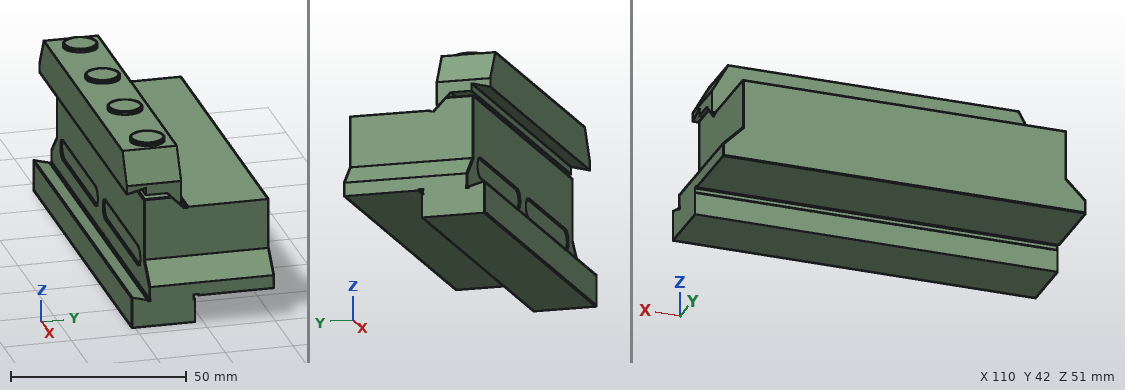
import cadquery as cq

LENGTH = 110.0
DEPTH = 42.0
SHOULDER_LENGTH = 97.9
END_SLOPE_LOW_Z = 12.0
END_SLOPE_RISE = (LENGTH - SHOULDER_LENGTH) / 2
SHELF_Z = 33.0
STEP_Z = 8.0
STEP_Y = 18.7
SEAT_Y = 5.3
RIDGE_TOP_Z = 36.5
RIDGE_BACK_Y = 13.3

JAW_ROOT_Z = 7.9
JAW_LIP_Z = 9.4
LIP_RISE = JAW_LIP_Z - JAW_ROOT_Z

RELIEF_WIDTH = 1.1
RELIEF_DEPTH = 0.3
JAW_RELIEF_TOP_Z = JAW_ROOT_Z + 0.4
JAW_RELIEF_FLOOR_Z = JAW_ROOT_Z - 0.2

EDGE_BREAK = 0.2

CLAMP_LENGTH = SHOULDER_LENGTH + 0.1
CLAMP_FRONT_Y = 0.2
CLAMP_BACK_Y = 16.2
CLAMP_TOP_Z = 50.0
CLAMP_HEEL_Z = 34.5
CLAMP_UNDERSIDE_Z = 37.8
CLAMP_NOTCH_Y = 5.8
CLAMP_NOTCH_Z = 40.0
CLAMP_SLOPE_LOW_Z = 41.1
CLAMP_END_INSET = 5.0

SCREW_COUNT = 4
SCREW_PITCH = 25.0
SCREW_Y = 9.2
SHANK_DIAMETER = 5.9
HEAD_DIAMETER = 9.9
HEAD_TOP_Z = 51.0
HEAD_CHAMFER = 0.3

SLOT_LENGTH = 42.0
SLOT_WIDTH = 5.9
SLOT_DEPTH = 0.5
SLOT_X = 23.8
SLOT_Z = 16.8


def extrude_along_x(points, length):
    """Extrude a (Y, Z) outline symmetrically about X = 0."""
    return cq.Workplane("YZ").polyline(points).close().extrude(length / 2, both=True)


def extrude_along_y(points):
    """Extrude an (X, Z) outline over the full depth of the part."""
    return cq.Workplane("XZ").polyline(points).close().extrude(-DEPTH)


def make_body():
    relief_floor_z = SHELF_Z - RELIEF_DEPTH
    ridge_root_y = RIDGE_BACK_Y + RIDGE_TOP_Z - relief_floor_z
    relief_edge_y = ridge_root_y + RELIEF_WIDTH
    section = extrude_along_x(
        [
            (0, 0),
            (STEP_Y, 0),
            (STEP_Y, STEP_Z - RELIEF_WIDTH),
            (STEP_Y - RELIEF_DEPTH, STEP_Z - RELIEF_WIDTH),
            (STEP_Y - RELIEF_DEPTH, STEP_Z + RELIEF_DEPTH),
            (STEP_Y + RELIEF_WIDTH, STEP_Z + RELIEF_DEPTH),
            (STEP_Y + RELIEF_WIDTH, STEP_Z),
            (DEPTH, STEP_Z),
            (DEPTH, SHELF_Z),
            (relief_edge_y, SHELF_Z),
            (relief_edge_y - RELIEF_DEPTH, relief_floor_z),
            (ridge_root_y, relief_floor_z),
            (RIDGE_BACK_Y, RIDGE_TOP_Z),
            (SEAT_Y, RIDGE_TOP_Z),
            (SEAT_Y, JAW_RELIEF_TOP_Z),
            (SEAT_Y + RELIEF_DEPTH, JAW_RELIEF_TOP_Z),
            (SEAT_Y + RELIEF_DEPTH, JAW_RELIEF_FLOOR_Z),
            (SEAT_Y - RELIEF_DEPTH, JAW_RELIEF_FLOOR_Z),
            (SEAT_Y - RELIEF_DEPTH, JAW_ROOT_Z + RELIEF_DEPTH * LIP_RISE / SEAT_Y),
            (0, JAW_LIP_Z),
        ],
        LENGTH,
    )
    end_slope_high_z = END_SLOPE_LOW_Z + END_SLOPE_RISE
    front_outline = extrude_along_y(
        [
            (-LENGTH / 2, 0),
            (LENGTH / 2, 0),
            (LENGTH / 2, END_SLOPE_LOW_Z),
            (SHOULDER_LENGTH / 2, end_slope_high_z),
            (SHOULDER_LENGTH / 2, RIDGE_TOP_Z),
            (-SHOULDER_LENGTH / 2, RIDGE_TOP_Z),
            (-SHOULDER_LENGTH / 2, end_slope_high_z),
            (-LENGTH / 2, END_SLOPE_LOW_Z),
        ]
    )
    return break_edges(section.intersect(front_outline))


def break_edges(body):
    """Chamfer the edges around the front jaw face, the seat, the back and the ridge top."""
    seat = body.faces(cq.selectors.NearestToPointSelector((0, SEAT_Y, SLOT_Z)))

    def is_not_seat_foot(edge):
        center = edge.Center()
        return center.y < SEAT_Y / 2 or center.z > JAW_LIP_Z or center.y > DEPTH / 2

    return (
        body.faces("<Y or >Y or >Z")
        .add(seat)
        .edges()
        .filter(is_not_seat_foot)
        .chamfer(EDGE_BREAK)
    )


def make_clamp():
    heel_y = RIDGE_BACK_Y + RIDGE_TOP_Z - CLAMP_HEEL_Z
    section = extrude_along_x(
        [
            (CLAMP_FRONT_Y, CLAMP_TOP_Z),
            (CLAMP_BACK_Y, CLAMP_TOP_Z),
            (CLAMP_BACK_Y, CLAMP_HEEL_Z),
            (heel_y, CLAMP_HEEL_Z),
            (heel_y - CLAMP_UNDERSIDE_Z + CLAMP_HEEL_Z, CLAMP_UNDERSIDE_Z),
            (CLAMP_NOTCH_Y, CLAMP_UNDERSIDE_Z),
            (CLAMP_NOTCH_Y, CLAMP_NOTCH_Z),
            (CLAMP_FRONT_Y, CLAMP_NOTCH_Z - LIP_RISE),
        ],
        CLAMP_LENGTH,
    )
    half_length = CLAMP_LENGTH / 2
    half_top = half_length - CLAMP_END_INSET
    front_outline = extrude_along_y(
        [
            (-half_length, CLAMP_HEEL_Z),
            (half_length, CLAMP_HEEL_Z),
            (half_length, CLAMP_SLOPE_LOW_Z),
            (half_top, CLAMP_TOP_Z),
            (-half_top, CLAMP_TOP_Z),
            (-half_length, CLAMP_SLOPE_LOW_Z),
        ]
    )
    return section.intersect(front_outline)


def make_screws():
    layout = cq.Workplane("XY").center(0, SCREW_Y).rarray(SCREW_PITCH, 1.1, SCREW_COUNT, 1)
    shanks = (
        layout.circle(SHANK_DIAMETER / 2)
        .extrude(CLAMP_TOP_Z - RIDGE_TOP_Z)
        .translate((0, 0, RIDGE_TOP_Z))
    )
    heads = (
        layout.circle(HEAD_DIAMETER / 2)
        .extrude(HEAD_TOP_Z - CLAMP_TOP_Z)
        .faces(">Z")
        .chamfer(HEAD_CHAMFER)
        .translate((0, 0, CLAMP_TOP_Z))
    )
    return shanks.union(heads)


def make_slots():
    return (
        cq.Workplane("XZ", origin=(0, SEAT_Y, 0))
        .pushPoints([(-SLOT_X, SLOT_Z), (SLOT_X, SLOT_Z)])
        .slot2D(SLOT_LENGTH, SLOT_WIDTH)
        .extrude(-SLOT_DEPTH)
    )


result = make_body().cut(make_slots()).union(make_clamp()).union(make_screws())